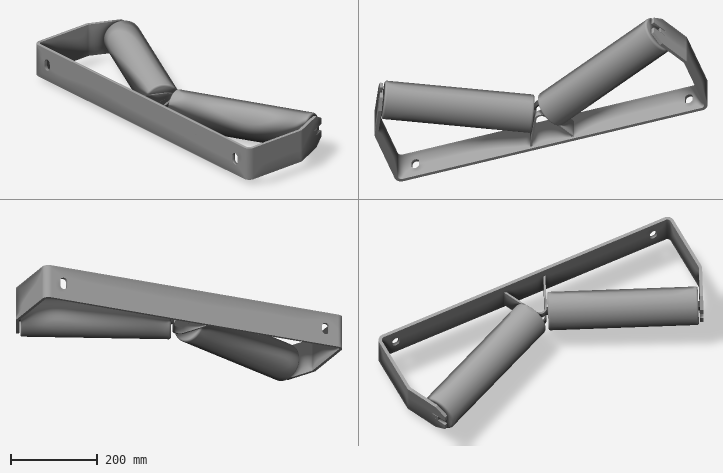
import cadquery as cq
import math

frame_length = 760.0
frame_height = 80.0
frame_thickness = 7.5
frame_bend_radius = 16.0
arm_corner_y = 162.0
arm_length = 110.0
lean_angle = 25.0
arm_chamfer_length = 28.0
arm_chamfer_height = 16.0
arm_slot_height = 16.0

mount_spacing = 665.0
mount_slot_width = 18.0
mount_slot_height = 28.0

bracket_thickness = 4.5
bracket_height = 50.0
bracket_foot_x = 53.0
bracket_bend_radius = 17.0
bracket_slot_width = 19.0
bracket_slot_length = 76.0
bracket_slot_depth = 14.0

roller_diameter = 89.0
roller_fillet = 4.5
roller_end_gap = 3.4
shaft_diameter = 18.0
tang_width = 17.0
tang_height = 14.0
axis_along_arm = 80.5
axis_z_at_arm = -1.0
axis_z_at_bracket = -8.0

lean_sin = math.sin(math.radians(lean_angle))
lean_cos = math.cos(math.radians(lean_angle))
arm_up = cq.Vector(-lean_sin, lean_cos, 0)
arm_outward = cq.Vector(lean_cos, lean_sin, 0)

half_length = frame_length / 2
arm_corner = cq.Vector(half_length, arm_corner_y, 0)
axis_at_arm = arm_corner + arm_up * axis_along_arm
bracket_foot = cq.Vector(bracket_foot_x, frame_thickness, 0)
face_distance = (axis_at_arm - bracket_foot).dot(arm_outward)
axis_at_bracket = axis_at_arm - arm_outward * face_distance


def bent_strip(points, thickness, height, bend_radius):
    """Sweep an upright strip section along a centreline whose corners are rounded."""
    sharp_path = cq.Wire.makePolygon([cq.Vector(x, y, 0) for x, y in points])
    ends = (cq.Vector(*points[0]), cq.Vector(*points[-1]))
    corners = []
    for vertex in sharp_path.Vertices():
        if all((vertex.Center() - end).Length > thickness for end in ends):
            corners.append(vertex)
    path = sharp_path.fillet2D(bend_radius, corners)
    start_plane = cq.Plane(path.startPoint(), (0, 0, 1), path.tangentAt(0))
    return cq.Workplane(start_plane).rect(height, thickness).sweep(cq.Workplane(path))


def make_frame():
    half_thickness = frame_thickness / 2
    wall_x = half_length - half_thickness
    corner_y = arm_corner_y - half_thickness * math.tan(math.radians(lean_angle / 2))
    tip = arm_corner + arm_up * arm_length - arm_outward * half_thickness
    right_half = [(wall_x, half_thickness), (wall_x, corner_y), (tip.x, tip.y)]
    left_half = [(-x, y) for x, y in reversed(right_half)]
    path = left_half + right_half
    frame = bent_strip(path, frame_thickness, frame_height, frame_bend_radius - half_thickness)

    arm_plane = cq.Plane(arm_corner, arm_up, arm_outward)
    chamfers = cq.Workplane(arm_plane)
    for side in (1, -1):
        corner_z = side * frame_height / 2
        chamfers = (
            chamfers.moveTo(arm_length, corner_z)
            .lineTo(arm_length - arm_chamfer_length, corner_z)
            .lineTo(arm_length, corner_z - side * arm_chamfer_height)
            .close()
        )
    chamfers = chamfers.extrude(-frame_thickness)
    slot_bottom = axis_along_arm - tang_width / 2
    slot = (
        cq.Workplane(arm_plane)
        .center((slot_bottom + arm_length) / 2, 0)
        .rect(arm_length - slot_bottom, arm_slot_height)
        .extrude(-frame_thickness)
    )
    for cutter in (chamfers, slot):
        frame = frame.cut(cutter).cut(cutter.mirror("YZ"))

    mount_slots = (
        cq.Workplane("XZ")
        .pushPoints([(-mount_spacing / 2, 0), (mount_spacing / 2, 0)])
        .slot2D(mount_slot_height, mount_slot_width, 90)
        .extrude(-frame_thickness)
    )
    return frame.cut(mount_slots)


def make_bracket():
    half_thickness = bracket_thickness / 2
    foot_x = bracket_foot_x - half_thickness / lean_cos
    apex_y = frame_thickness + foot_x * lean_cos / lean_sin
    foot_bottom_x = apex_y * lean_sin / lean_cos
    path = [(-foot_bottom_x, 0), (0, apex_y), (foot_bottom_x, 0)]
    bracket = bent_strip(path, bracket_thickness, bracket_height, bracket_bend_radius - half_thickness)
    base = cq.Workplane("XY").box(frame_length, 2 * frame_thickness, 2 * frame_height)
    bracket = bracket.translate((0, 0, axis_z_at_bracket)).cut(base)

    slot_plane = cq.Plane(axis_at_bracket + cq.Vector(0, 0, axis_z_at_bracket), arm_up, arm_outward)
    slot = (
        cq.Workplane(slot_plane)
        .center(bracket_slot_length / 2, 0)
        .slot2D(bracket_slot_length + bracket_slot_width, bracket_slot_width)
        .extrude(-bracket_slot_depth)
    )
    return bracket.cut(slot).cut(slot.mirror("YZ"))


def make_roller():
    """Roller on the +X side, with its shaft, its axis dipping slightly towards the bracket."""
    start = axis_at_arm + cq.Vector(0, 0, axis_z_at_arm)
    end = axis_at_bracket + cq.Vector(0, 0, axis_z_at_bracket) - arm_outward * bracket_thickness
    axis = end - start
    plane = cq.Plane(start, arm_up, axis)
    drum_start = frame_thickness + roller_end_gap
    drum_length = face_distance - drum_start - roller_end_gap
    drum = (
        cq.Workplane(plane)
        .workplane(offset=drum_start)
        .circle(roller_diameter / 2)
        .extrude(drum_length)
        .edges()
        .fillet(roller_fillet)
    )
    tang = cq.Workplane(plane).rect(tang_width, tang_height).extrude(drum_start)
    shaft = (
        cq.Workplane(plane)
        .workplane(offset=drum_start)
        .circle(shaft_diameter / 2)
        .extrude(axis.Length - drum_start)
    )
    return drum.union(shaft).union(tang)


frame = make_frame()
bracket = make_bracket()
right_roller = make_roller()
rollers = [right_roller, right_roller.mirror("YZ")]

result = cq.Compound.makeCompound([frame.val(), bracket.val(), *[roller.val() for roller in rollers]])